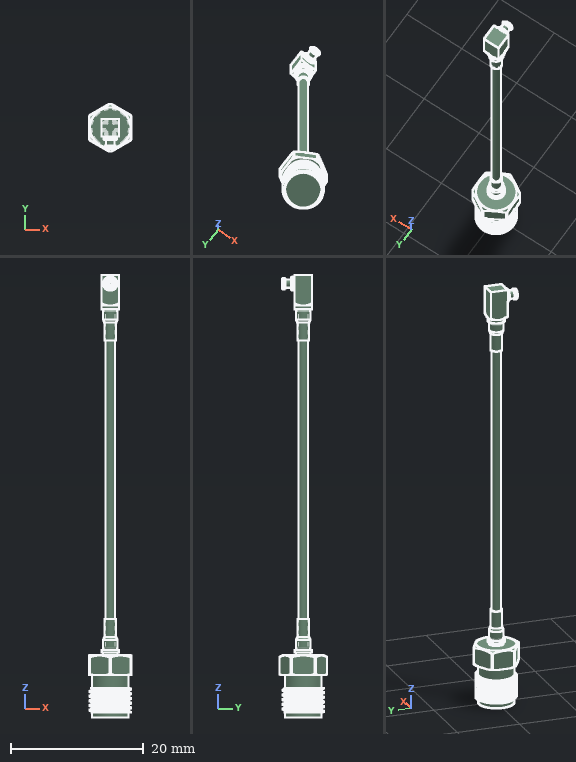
import cadquery as cq
import math

TOTAL_HEIGHT = 66.61

BARREL_RADIUS = 2.75
THREAD_ROOT_RADIUS = 2.8
THREAD_RADIUS = 3.15
THREAD_PITCH = 0.705
THREAD_BOTTOM = 0.8
THREAD_TOP = 4.5
THREAD_CREST_WIDTH = 0.08
THREAD_ROOT_WIDTH = 0.5
THREAD_CREST_HEIGHT = 4.3
THREAD_EMBED = 0.1
HEX_BOTTOM = 6.4
HEX_TOP = 9.42
HEX_ACROSS_FLATS = 6.35
HEX_TURNED_RADIUS = 3.6
HEX_TOP_FACE_RADIUS = 3.05
HEX_TOP_BEVEL = 0.3
HEX_BOTTOM_FACE_RADIUS = 3.35
HEX_BOTTOM_BEVEL = 0.15
NECK_RADIUS = 1.1
FLANGE_RADIUS = 1.3
FLANGE_BOTTOM = 9.78
FLANGE_TOP = 10.2

CABLE_RADIUS = 0.72
BOOT_LENGTH = 4.65
BOOT_WIDE_RADIUS = 1.1
BOOT_NARROW_RADIUS = 0.9
BOOT_EDGE_RADIUS = 1.03
BOOT_SEAT_BEVEL = 0.3
BOOT_WIDE_END = 1.45
BOOT_SHOULDER_END = 1.6
BOOT_STEP_END = 1.95

BLOCK_WIDTH = 2.7
BLOCK_HEIGHT = 4.65
BLOCK_BEVEL = 0.35
COLLAR_LENGTH = 0.6
COLLAR_CHAMFER = 0.1
NOSE_DROP = 1.33
NOSE_BASE_RADIUS = 1.05
NOSE_BASE_LENGTH = 0.3
NOSE_SHOULDER_RADIUS = 0.9
NOSE_SHOULDER_LENGTH = 0.2
NOSE_NECK_RADIUS = 0.65
NOSE_NECK_LENGTH = 0.85
NOSE_TIP_RADIUS = 0.85
NOSE_TIP_LENGTH = 0.5
NOSE_TIP_CHAMFER = 0.15
SOCKET_RADIUS = 0.6
SOCKET_DEPTH = 0.4
PIN_RADIUS = 0.25

BLOCK_BOTTOM = TOTAL_HEIGHT - BLOCK_HEIGHT
COLLAR_BOTTOM = BLOCK_BOTTOM - COLLAR_LENGTH


def revolve_z(points):
    """Turn an (r, z) outline about the Z axis."""
    return cq.Workplane("XZ").polyline(points).close().revolve(360, (0, 0, 0), (0, 1, 0))


def cylinder(radius, bottom, top):
    return cq.Workplane("XY").workplane(offset=bottom).circle(radius).extrude(top - bottom)


def hex_nut():
    """Hexagon with flats facing +-X, turned and bevelled at its corners."""
    across_corners = HEX_ACROSS_FLATS / math.cos(math.radians(30))
    hexagon = (
        cq.Workplane("XY")
        .workplane(offset=HEX_BOTTOM)
        .transformed(rotate=(0, 0, 30))
        .polygon(6, across_corners)
        .extrude(HEX_TOP - HEX_BOTTOM)
    )
    turned = revolve_z([
        (0, HEX_BOTTOM),
        (HEX_BOTTOM_FACE_RADIUS, HEX_BOTTOM),
        (HEX_TURNED_RADIUS, HEX_BOTTOM + HEX_BOTTOM_BEVEL),
        (HEX_TURNED_RADIUS, HEX_TOP - HEX_TOP_BEVEL),
        (HEX_TOP_FACE_RADIUS, HEX_TOP),
        (0, HEX_TOP),
    ])
    return hexagon.intersect(turned)


def thread_ridge():
    """Right-handed helical ridge, trimmed flat at both ends of the threaded length."""
    turns_below = math.ceil((THREAD_CREST_HEIGHT - THREAD_BOTTOM) / THREAD_PITCH) + 1
    start = THREAD_CREST_HEIGHT - turns_below * THREAD_PITCH
    length = (turns_below + 2) * THREAD_PITCH
    inner = THREAD_ROOT_RADIUS - THREAD_EMBED
    path = cq.Wire.makeHelix(THREAD_PITCH, length, THREAD_ROOT_RADIUS, cq.Vector(0, 0, start))
    ridge = (
        cq.Workplane("XZ")
        .polyline([
            (inner, start - THREAD_ROOT_WIDTH / 2),
            (THREAD_RADIUS, start - THREAD_CREST_WIDTH / 2),
            (THREAD_RADIUS, start + THREAD_CREST_WIDTH / 2),
            (inner, start + THREAD_ROOT_WIDTH / 2),
        ])
        .close()
        .sweep(cq.Workplane(obj=path), isFrenet=True)
    )
    threaded_length = cylinder(THREAD_RADIUS + THREAD_EMBED, THREAD_BOTTOM, THREAD_TOP)
    return ridge.intersect(threaded_length)


def make_jack():
    barrel = cylinder(BARREL_RADIUS, 0, HEX_BOTTOM)
    thread_core = cylinder(THREAD_ROOT_RADIUS, THREAD_BOTTOM, THREAD_TOP)
    neck = cylinder(NECK_RADIUS, HEX_TOP, FLANGE_TOP)
    flange = cylinder(FLANGE_RADIUS, FLANGE_BOTTOM, FLANGE_TOP)
    threaded_barrel = barrel.union(thread_core).union(thread_ridge())
    return threaded_barrel.union(hex_nut()).union(neck).union(flange)


def make_boot(seat, direction):
    """Stepped sleeve standing on the height `seat`, narrowing along `direction` (+1 up, -1 down)."""
    outline = [
        (CABLE_RADIUS, 0),
        (BOOT_EDGE_RADIUS, 0),
        (BOOT_WIDE_RADIUS, BOOT_SEAT_BEVEL),
        (BOOT_WIDE_RADIUS, BOOT_WIDE_END),
        (BOOT_EDGE_RADIUS, BOOT_SHOULDER_END),
        (BOOT_NARROW_RADIUS, BOOT_STEP_END),
        (BOOT_NARROW_RADIUS, BOOT_LENGTH),
        (CABLE_RADIUS, BOOT_LENGTH),
    ]
    return revolve_z([(radius, seat + direction * along) for radius, along in outline])


def make_cable():
    return cylinder(CABLE_RADIUS, FLANGE_TOP, COLLAR_BOTTOM)


def plug_block():
    """Square block whose lower corners are turned to a cone ending on the round collar."""
    collar_radius = BLOCK_WIDTH / 2
    corner_radius = BLOCK_WIDTH / math.sqrt(2)
    block = (
        cq.Workplane("XY")
        .workplane(offset=BLOCK_BOTTOM)
        .rect(BLOCK_WIDTH, BLOCK_WIDTH)
        .extrude(BLOCK_HEIGHT)
    )
    turned = revolve_z([
        (0, BLOCK_BOTTOM),
        (collar_radius, BLOCK_BOTTOM),
        (corner_radius, BLOCK_BOTTOM + BLOCK_BEVEL),
        (corner_radius, TOTAL_HEIGHT),
        (0, TOTAL_HEIGHT),
    ])
    collar = cylinder(collar_radius, COLLAR_BOTTOM, BLOCK_BOTTOM).faces("<Z").chamfer(COLLAR_CHAMFER)
    return block.intersect(turned).union(collar)


def plug_nose():
    """Turned nose along -Y with a socket around a centre pin."""
    base_end = NOSE_BASE_LENGTH
    shoulder_end = base_end + NOSE_SHOULDER_LENGTH
    neck_end = shoulder_end + NOSE_NECK_LENGTH
    tip_end = neck_end + NOSE_TIP_LENGTH
    socket_floor = tip_end - SOCKET_DEPTH
    outline = [
        (0, 0),
        (NOSE_BASE_RADIUS, 0),
        (NOSE_BASE_RADIUS, base_end),
        (NOSE_SHOULDER_RADIUS, shoulder_end),
        (NOSE_NECK_RADIUS, shoulder_end),
        (NOSE_NECK_RADIUS, neck_end),
        (NOSE_TIP_RADIUS - NOSE_TIP_CHAMFER, neck_end),
        (NOSE_TIP_RADIUS, neck_end + NOSE_TIP_CHAMFER),
        (NOSE_TIP_RADIUS, tip_end - NOSE_TIP_CHAMFER),
        (NOSE_TIP_RADIUS - NOSE_TIP_CHAMFER, tip_end),
        (SOCKET_RADIUS, tip_end),
        (SOCKET_RADIUS, socket_floor),
        (PIN_RADIUS, socket_floor),
        (PIN_RADIUS, tip_end),
        (0, tip_end),
    ]
    nose = revolve_z(outline).rotate((0, 0, 0), (1, 0, 0), 90)
    return nose.translate((0, -BLOCK_WIDTH / 2, TOTAL_HEIGHT - NOSE_DROP))


def make_plug():
    return plug_block().union(plug_nose())


jack = make_jack()
cable = make_cable()
plug = make_plug()
boots = [make_boot(FLANGE_TOP, 1), make_boot(COLLAR_BOTTOM, -1)]

result = cq.Compound.makeCompound([
    jack.val(),
    cable.val(),
    plug.val(),
    *[boot.val() for boot in boots],
])